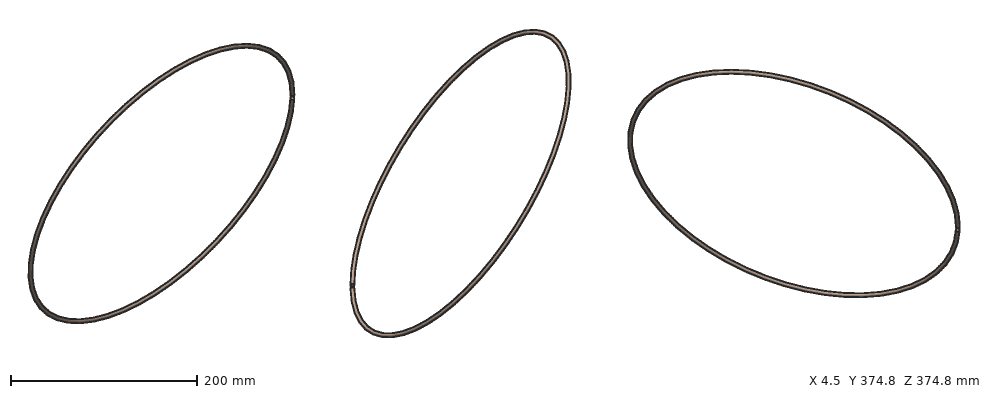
import cadquery as cq
import math

wire_diameter = 4.5
outer_diameter = 374.8
gap = 6.0

wire_radius = wire_diameter / 2
bend_radius = outer_diameter / 2 - wire_radius
full_turn = 360.0
gap_angle = math.degrees(gap / bend_radius)


def split_ring():
    """Revolve the wire section about X, from +Y over +Z and on to the gap just below +Y."""
    section = cq.Workplane("XY").center(0, bend_radius).circle(wire_radius)
    axis_start = (0, -bend_radius)
    axis_end = (1, -bend_radius)
    return section.revolve(full_turn - gap_angle, axis_start, axis_end)


result = split_ring()